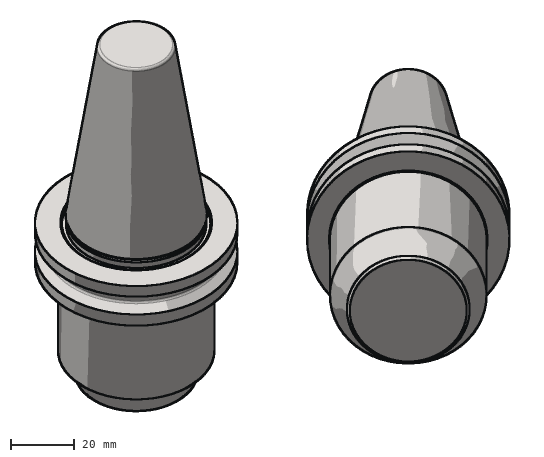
import cadquery as cq
import math

total_length = 132.9
nose_end = 9.6
flange_bottom = 45.3
flange_top = 61.3
lower_rim_top = 49.8
upper_rim_bottom = 57.0
undercut_bottom = 63.0
undercut_top = 63.8
gauge_line = 64.5

nose_radius = 19.3
body_radius = 24.6
flange_radius = 31.8
groove_radius = 28.2
neck_radius = 22.0
undercut_radius = 21.8
gauge_radius = 22.2

nose_chamfer = 0.9
nose_arc_radius = 18.6
body_edge = 0.3
groove_fillet = 0.9
tip_fillet = 0.9
relief_outer_radius = 23.8
relief_floor_radius = 23.3
relief_depth = 0.5

taper_slope = 7 / 24 / 2
tip_radius = gauge_radius - taper_slope * (total_length - gauge_line)
groove_wall_height = (flange_radius - groove_radius) * math.tan(math.radians(30))


def nose_arc_middle():
    """Middle point of the concave nose arc, displaced inward from its chord."""
    start_radius, start_height = nose_radius, nose_chamfer
    end_radius = body_radius - body_edge
    radial_run = end_radius - start_radius
    axial_run = nose_end - start_height
    chord = math.hypot(radial_run, axial_run)
    sagitta = nose_arc_radius - math.sqrt(nose_arc_radius**2 - (chord / 2) ** 2)
    return (
        (start_radius + end_radius) / 2 - sagitta * axial_run / chord,
        (start_height + nose_end) / 2 + sagitta * radial_run / chord,
    )


def make_holder():
    """Revolve the body, flange and tapered shank in one profile."""
    relief_floor = flange_top - relief_depth
    profile = (
        cq.Workplane("XZ")
        .lineTo(nose_radius - nose_chamfer, 0)
        .lineTo(nose_radius, nose_chamfer)
        .threePointArc(nose_arc_middle(), (body_radius - body_edge, nose_end))
        .lineTo(body_radius, nose_end + body_edge)
        .lineTo(body_radius, flange_bottom - body_edge)
        .lineTo(body_radius + body_edge, flange_bottom)
        .lineTo(flange_radius, flange_bottom)
        .lineTo(flange_radius, lower_rim_top)
        .lineTo(groove_radius, lower_rim_top + groove_wall_height)
        .lineTo(groove_radius, upper_rim_bottom - groove_wall_height)
        .lineTo(flange_radius, upper_rim_bottom)
        .lineTo(flange_radius, flange_top)
        .lineTo(relief_outer_radius, flange_top)
        .lineTo(relief_floor_radius, relief_floor)
        .lineTo(neck_radius, relief_floor)
        .lineTo(neck_radius, undercut_bottom)
        .lineTo(undercut_radius, undercut_top)
        .lineTo(gauge_radius, gauge_line)
        .lineTo(tip_radius, total_length)
        .lineTo(0, total_length)
        .close()
    )
    return profile.revolve(360, (0, 0, 0), (0, 1, 0))


def round_groove_corners(holder):
    """Blend the groove floor into both sloping walls."""
    margin = groove_wall_height / 2
    corners = cq.selectors.BoxSelector(
        (-flange_radius, -flange_radius, lower_rim_top + margin),
        (flange_radius, flange_radius, upper_rim_bottom - margin),
    )
    return holder.edges(corners).edges("%CIRCLE").fillet(groove_fillet)


holder = round_groove_corners(make_holder())
result = holder.faces(">Z").edges().fillet(tip_fillet)